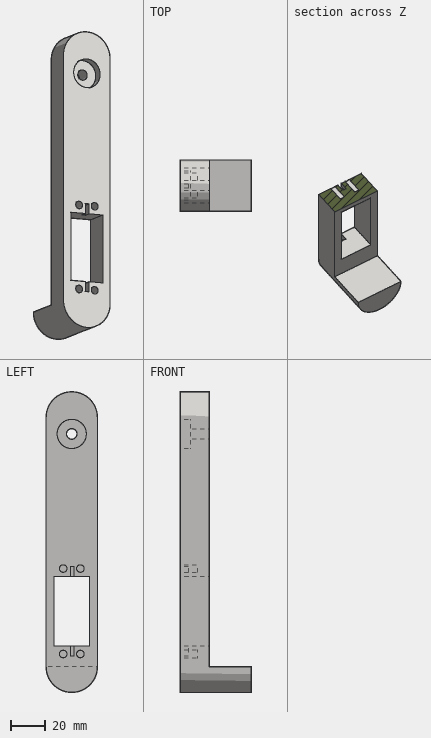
import cadquery as cq

plate_thickness = 17.0
plate_width = 30.0
plate_height = 175.0
end_radius = plate_width / 2

foot_length = 41.5

mount_z = 150.4
mount_hole_diameter = 6.0
mount_bore_diameter = 17.0
mount_bore_depth = 6.0

window_z = 47.25
window_width = 20.4
window_height = 40.2
slot_y = -0.3
slot_width = 2.2
slot_span = 52.0
slot_depth = 5.0
screw_diameter = 4.4
screw_depth = 10.0
screw_spacing_y = 10.0
screw_spacing_z = 49.7


def back_plane(z):
    """Sketch plane on the back face at height z: local x is +Y, local y is +Z, extruding to +X."""
    return cq.Workplane("YZ", origin=(0, 0, z))


def make_plate():
    """Upright bar with both ends fully rounded."""
    outline = back_plane(plate_height / 2).slot2D(plate_height, plate_width, 90)
    return outline.extrude(plate_thickness)


def make_foot():
    """Half-round foot, flat side up, tangent to the lower end of the plate."""
    return (
        back_plane(end_radius)
        .moveTo(-end_radius, 0)
        .threePointArc((0, -end_radius), (end_radius, 0))
        .close()
        .extrude(foot_length)
    )


def make_mount_hole():
    """Through hole with a counterbore open at the back face."""
    hole = back_plane(mount_z).circle(mount_hole_diameter / 2).extrude(plate_thickness)
    bore = back_plane(mount_z).circle(mount_bore_diameter / 2).extrude(mount_bore_depth)
    return hole.union(bore)


def make_window():
    """Through window joined by the shallow key slot that runs past its top and bottom."""
    window = back_plane(window_z).rect(window_width, window_height).extrude(plate_thickness)
    slot = back_plane(window_z).center(slot_y, 0).rect(slot_width, slot_span).extrude(slot_depth)
    return window.union(slot)


def make_screw_holes():
    """Four blind holes around the window."""
    return (
        back_plane(window_z)
        .rarray(screw_spacing_y, screw_spacing_z, 2, 2)
        .circle(screw_diameter / 2)
        .extrude(screw_depth)
    )


body = make_plate().union(make_foot())
result = body.cut(make_mount_hole()).cut(make_window()).cut(make_screw_holes())